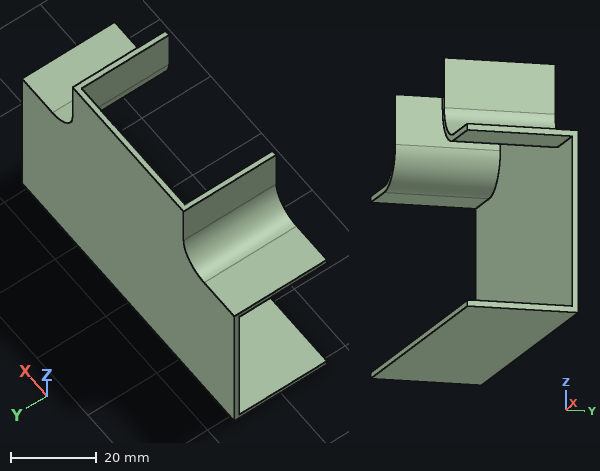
import cadquery as cq

length = 83.6
depth = 27.0
height = 63.6
branch_offset = 20.0
bend_radius = 8.0
wall = 1.5

half_length = length / 2
half_branch = half_length - branch_offset
run_height = height - branch_offset


def tee_prism(inset, prism_depth):
    """Tee shape extruded toward -Y from the back face.

    The inset moves the floor, shoulders and branch sides inward, but leaves
    the three open ends in place. The bends stay concentric.
    """
    half_neck = half_branch - inset
    shoulder = run_height - inset
    radius = bend_radius + inset
    bend_x = half_branch + bend_radius
    bend_z = run_height + bend_radius
    diagonal = radius * 0.5**0.5
    return (
        cq.Workplane("XZ", origin=(0, depth / 2, 0))
        .moveTo(-half_length, inset)
        .lineTo(half_length, inset)
        .lineTo(half_length, shoulder)
        .lineTo(bend_x, shoulder)
        .threePointArc((bend_x - diagonal, bend_z - diagonal), (half_neck, bend_z))
        .lineTo(half_neck, height)
        .lineTo(-half_neck, height)
        .lineTo(-half_neck, bend_z)
        .threePointArc((diagonal - bend_x, bend_z - diagonal), (-bend_x, shoulder))
        .lineTo(-half_length, shoulder)
        .close()
        .extrude(prism_depth)
    )


outer_body = tee_prism(0, depth)
channel = tee_prism(wall, depth).translate((0, -wall, 0))
result = outer_body.cut(channel)